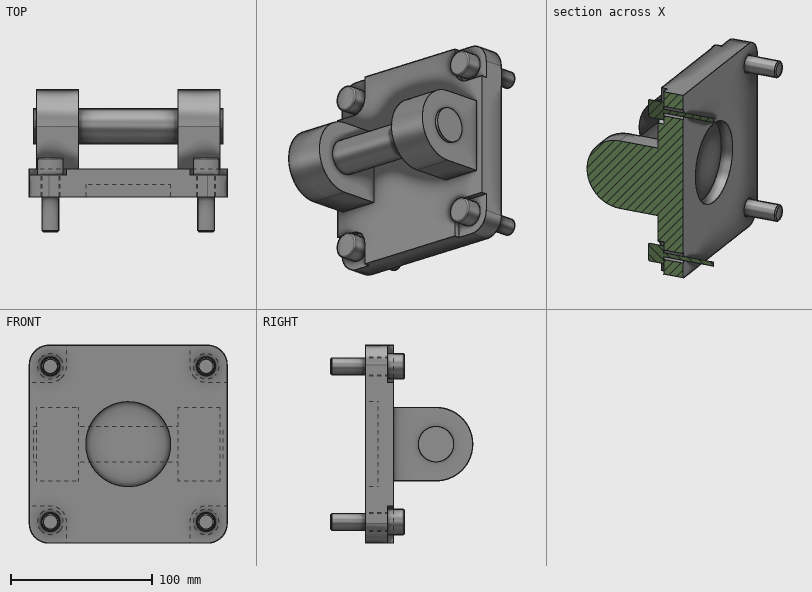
import cadquery as cq


flange_size = 140.0
flange_thickness = 20.0
flange_corner_radius = 14.0
spigot_recess_diameter = 60.0
spigot_recess_depth = 9.0

screw_inset = 15.0
screw_offset = flange_size / 2 - screw_inset
clearance_hole_diameter = 13.5
seat_size = 26.3
seat_depth = 4.5
seat_corner_radius = seat_size - screw_inset
seat_level = flange_thickness - seat_depth

lug_gap = 70.0
lug_thickness = 30.0
lug_radius = 26.0
pin_axis_height = 30.0
pin_axis_y = flange_thickness + pin_axis_height

pin_diameter = 25.0
pin_protrusion = 2.1
pin_length = lug_gap + 2 * (lug_thickness + pin_protrusion)

screw_diameter = 12.0
screw_head_diameter = 18.0
screw_head_height = 12.0
screw_protrusion = 24.5
screw_shank_length = seat_level + screw_protrusion
screw_tip_chamfer = 1.0
screw_head_fillet = 1.0

corner_signs = [(-1, -1), (-1, 1), (1, -1), (1, 1)]
screw_positions = [(sx * screw_offset, sz * screw_offset) for sx, sz in corner_signs]


def plane_at(y):
    """Workplane at the given Y with local x = X, local y = Z and its normal along -Y."""
    return cq.Workplane("XZ", origin=(0, y, 0))


def make_flange():
    plate = (
        plane_at(0)
        .rect(flange_size, flange_size)
        .extrude(-flange_thickness)
        .edges("|Y")
        .fillet(flange_corner_radius)
    )
    spigot_recess = plane_at(0).circle(spigot_recess_diameter / 2).extrude(-spigot_recess_depth)
    clearance_holes = (
        plane_at(0)
        .pushPoints(screw_positions)
        .circle(clearance_hole_diameter / 2)
        .extrude(-flange_thickness)
    )
    return plate.cut(spigot_recess).cut(clearance_holes).cut(make_screw_seats())


def make_screw_seats():
    """Rounded blocks centred on the flange corners; each inner corner is concentric with its screw."""
    half_size = flange_size / 2
    flange_corners = [(sx * half_size, sz * half_size) for sx, sz in corner_signs]
    return (
        plane_at(seat_level)
        .pushPoints(flange_corners)
        .rect(2 * seat_size, 2 * seat_size)
        .extrude(-seat_depth)
        .edges("|Y")
        .fillet(seat_corner_radius)
    )


def make_lug(inner_x):
    """Round-ended lug standing on the flange, from inner_x towards +X."""
    return (
        cq.Workplane("YZ", origin=(inner_x, 0, 0))
        .moveTo(flange_thickness, -lug_radius)
        .lineTo(pin_axis_y, -lug_radius)
        .threePointArc((pin_axis_y + lug_radius, 0), (pin_axis_y, lug_radius))
        .lineTo(flange_thickness, lug_radius)
        .close()
        .extrude(lug_thickness)
    )


def make_cross_pin():
    return (
        cq.Workplane("YZ", origin=(-pin_length / 2, pin_axis_y, 0))
        .circle(pin_diameter / 2)
        .extrude(pin_length)
    )


def make_bracket():
    """Flange, lugs and cross pin form one solid."""
    bracket = make_flange()
    for inner_x in (-lug_gap / 2 - lug_thickness, lug_gap / 2):
        bracket = bracket.union(make_lug(inner_x))
    return bracket.union(make_cross_pin())


def make_screw(x, z):
    """Cap screw with its head on the seat and its tip pointing to -Y."""
    head = (
        plane_at(seat_level)
        .circle(screw_head_diameter / 2)
        .extrude(-screw_head_height)
        .faces(">Y")
        .edges()
        .fillet(screw_head_fillet)
    )
    shank = (
        plane_at(seat_level)
        .circle(screw_diameter / 2)
        .extrude(screw_shank_length)
        .faces("<Y")
        .edges()
        .chamfer(screw_tip_chamfer)
    )
    return head.union(shank).translate((x, 0, z))


bracket = make_bracket()
screws = [make_screw(x, z) for x, z in screw_positions]

result = cq.Compound.makeCompound([bracket.val(), *[screw.val() for screw in screws]])